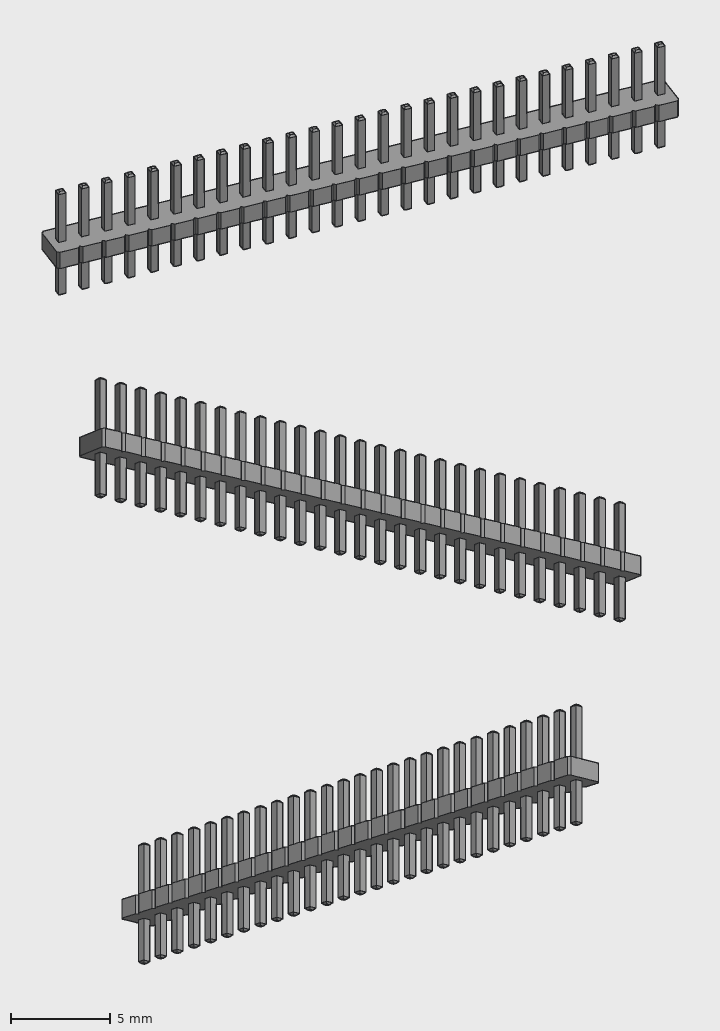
import cadquery as cq

PIN_COUNT = 27
STRIP_LENGTH = 34.3
PITCH = STRIP_LENGTH / PIN_COUNT

STRIP_WIDTH = 2.1
STRIP_HEIGHT = 1.0
CELL_CHAMFER = PITCH / 10

PIN_WIDTH = 0.4
PIN_TIP_CHAMFER = PIN_WIDTH / 4
PIN_LENGTH = 6.3
PIN_BELOW_STRIP = 2.3


def cell_centre(index):
    """Y position of one cell and its pin, with the row centred on the origin."""
    return (index - (PIN_COUNT - 1) / 2) * PITCH


def make_strip():
    """Strip of chamfered cells, resting on Z = 0; adjoining chamfers form V notches."""
    half_width = STRIP_WIDTH / 2
    end_half_width = half_width - CELL_CHAMFER
    half_pitch = PITCH / 2
    half_flat = half_pitch - CELL_CHAMFER

    right_side = [(end_half_width, -STRIP_LENGTH / 2)]
    for index in range(PIN_COUNT):
        y = cell_centre(index)
        right_side += [
            (half_width, y - half_flat),
            (half_width, y + half_flat),
            (end_half_width, y + half_pitch),
        ]
    left_side = [(-x, y) for x, y in reversed(right_side)]
    return cq.Workplane("XY").polyline(right_side + left_side).close().extrude(STRIP_HEIGHT)


def make_pin(y):
    """Square pin through the strip, with chamfered tips at both ends."""
    return (
        cq.Workplane("XY", origin=(0, y, -PIN_BELOW_STRIP))
        .rect(PIN_WIDTH, PIN_WIDTH)
        .extrude(PIN_LENGTH)
        .faces("<Z or >Z")
        .chamfer(PIN_TIP_CHAMFER)
    )


result = make_strip()
for pin_index in range(PIN_COUNT):
    result = result.union(make_pin(cell_centre(pin_index)))